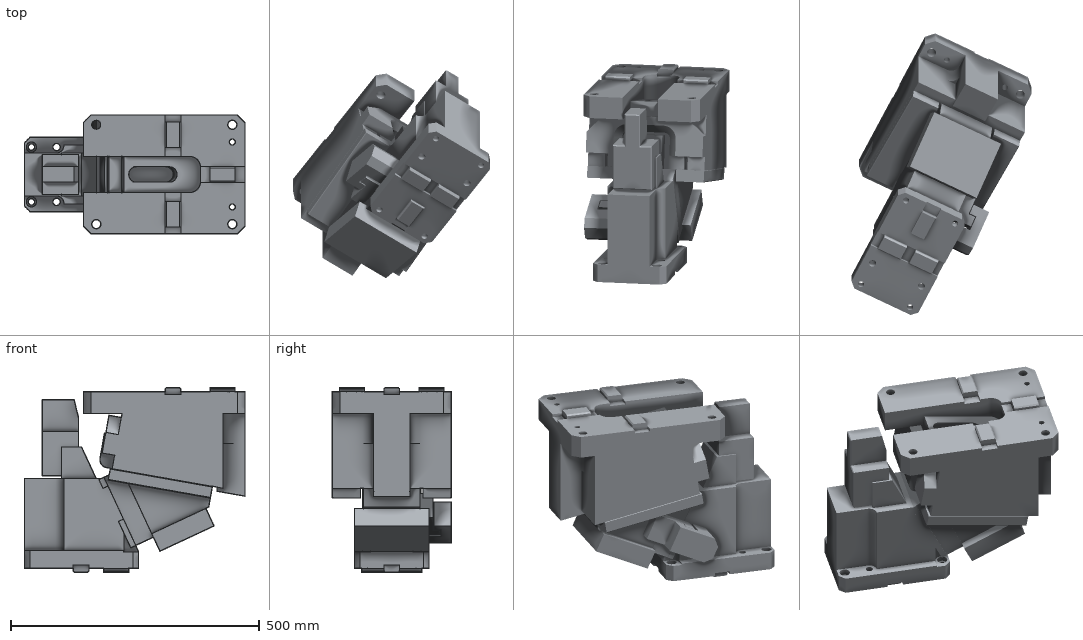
import cadquery as cq
import math


total_length = 445.0
total_width = 240.0
total_height = 372.0
key_stand_out = 8.0
key_seat_depth = 6.2
key_width = 32.0
key_length = 50.7
key_edge_chamfer = 2.5

drive_angle = math.radians(25)
guide_angle = math.radians(10)

base_length = 230.0
base_half_width = 75.0
base_plate_top = 44.0
base_corner_chamfer = 11.5
base_top = 189.0
body_half_width = 59.0
waist_half_width = 43.0
waist_end_left = 64.5
waist_start_right = 216.0
waist_radius = 15.0
right_seat_start = 200.2
right_seat_depth = 3.0
drive_top_x = 161.5
base_hole_inset = 14.2
base_hole_y = 55.0
base_hole_radius = 6.2
base_bore_radius = 10.2
base_bore_depth = 13.5
dowel_x = 65.0
dowel_radius = 7.0
base_cross_key_x = 114.5
base_end_key_x = 185.0
base_cross_key_y = 35.0

cheek_left = 74.8
cheek_top = 252.8
cheek_top_right = 115.3
post_left = 35.0
post_right = 109.5
post_bottom = 194.0
post_step = 283.5
post_top = 348.0
post_top_right = 100.5
post_bend_x = 104.5
post_bend_z = 331.0
post_slope_start = 311.5
post_half_width = 40.0
post_tip_half_width = 15.5
post_edge_chamfer = 2.0

ear_top_u = -66.8
ear_length = 54.0
ear_left_n = -63.0
ear_right_n = 31.0
ear_chamfer = 14.2

pad_depth = 11.0
slider_top_u = 2.5
slider_bottom_u = -149.0
upper_pad_bottom_u = -17.0
lower_pad_top_u = -90.5
strip_depth = 39.0
strip_half_width = 58.0
wedge_half_width = 57.0
foot_right_n = 159.8
foot_top_u = -141.0
foot_bottom_u = -180.2
rail_flange_y = 98.0
rail_stem_y = 83.0
rail_flange_top_n = 10.0
rail_stem_top_n = 71.5
rail_clearance = 2.0
rail_floor_gap = 7.5

holder_left = 119.0
holder_half_width = total_width / 2
holder_corner_chamfer = 15.5
plate_bottom = 319.5
plate_top = total_height - key_stand_out
guide_corner_x = 177.0
guide_corner_z = 208.5
block_right = 400.5
window_half_width = 36.5
window_right = 355.0
window_radius = 22.2
window_floor_left_z = 341.0
slot_left = 209.5
slot_right = 308.5
slot_half_width = 15.5
slot_depth = 44.5
nose_depth = 25.5
nose_bottom = 27.5
nose_top = 105.0
nose_chamfer = 35.0
arch_half_width = 49.0
arch_top = 73.5
arch_radius = 11.5
arch_bevel = 14.5
tongue_left = -28.0
tongue_top = 68.0
tongue_half_width = 36.5
tongue_radius = 16.5
front_groove_y = 77.5
front_groove_width = 7.5
front_groove_depth = 26.5
gib_left = -4.0
gib_right = 205.0
gib_thickness = 24.0
gib_chamfer = 1.5
gib_inner_y = 62.7
rib_left = 388.0
rib_tip_z = 153.0
rib_fillet = 19.5
rib_fillet_bottom = 259.5
holder_hole_left_x = 145.0
holder_hole_right_x = 419.0
holder_hole_y = 100.0
holder_hole_radius = 9.0
holder_dowel_y = 65.5
holder_dowel_radius = 6.0
holder_cross_key_x = 299.5
holder_cross_key_y = 80.0
holder_end_key_x = 399.5

drive_plane = cq.Plane(
    origin=(drive_top_x, 0, base_top),
    xDir=(math.cos(drive_angle), 0, math.sin(drive_angle)),
    normal=(0, -1, 0),
)
guide_plane = cq.Plane(
    origin=(guide_corner_x, 0, guide_corner_z),
    xDir=(math.cos(guide_angle), 0, -math.sin(guide_angle)),
    normal=(0, -1, 0),
)


def block(x_range, y_range, z_range):
    """Box between the given limits."""
    lows, highs = zip(x_range, y_range, z_range)
    size = [high - low for low, high in zip(lows, highs)]
    return cq.Workplane().box(*size, centered=False).translate(lows)


def prism(plane, points, y_range):
    """Outline on a plane that faces -Y, extruded between two Y values."""
    low, high = y_range
    return cq.Workplane(plane).polyline(points).close().extrude(high - low).translate((0, high, 0))


def bar(plane, across, along, y_range):
    """Rectangular bar on a plane that faces -Y."""
    (left, right), (bottom, top) = across, along
    points = [(left, bottom), (right, bottom), (right, top), (left, top)]
    return prism(plane, points, y_range)


def both_sides(half_width):
    return (-half_width, half_width)


def mirrored(shape):
    """The shape together with its mirror image across the middle plane."""
    return shape.union(shape.mirror("XZ"))


def upright_holes(points, radius, z_range):
    low, high = z_range
    return cq.Workplane().workplane(offset=low).pushPoints(points).circle(radius).extrude(high - low)


def key(center, size, z_range, outward):
    """Key block whose long outer edges are chamfered."""
    (x, y), (length, width) = center, size
    body = block((x - length / 2, x + length / 2), (y - width / 2, y + width / 2), z_range)
    long_axis = "X" if length > width else "Y"
    outer_face = ">Z" if outward > 0 else "<Z"
    return body.faces(outer_face).edges("|" + long_axis).chamfer(key_edge_chamfer)


def add_keys(body, cross_x, cross_y, end_x, end_groove, half_width, face_z, outward):
    """Two keys across the body and one towards its right end, each in an open groove."""
    seat_z = face_z - outward * key_seat_depth
    groove_z = sorted((seat_z, face_z))
    key_z = sorted((seat_z, face_z + outward * key_stand_out))
    half = key_width / 2
    body = body.cut(block((cross_x - half, cross_x + half), both_sides(half_width), groove_z))
    body = body.cut(block(end_groove, both_sides(half), groove_z))
    for side in (-1, 1):
        center = (cross_x, side * cross_y)
        body = body.union(key(center, (key_width, key_length), key_z, outward))
    return body.union(key((end_x, 0), (key_length, key_width), key_z, outward))


def slider_pads():
    """Two pads that stand out of the slider into the driving face."""
    pads = cq.Workplane()
    for bottom, top in ((upper_pad_bottom_u, slider_top_u), (slider_bottom_u, lower_pad_top_u)):
        pads = pads.add(bar(drive_plane, (-pad_depth, 0), (bottom, top), both_sides(body_half_width)))
    return pads.combine()


def make_slider():
    strip = bar(drive_plane, (0, strip_depth), (slider_bottom_u, slider_top_u), both_sides(strip_half_width))
    wedge = bar(drive_plane, (0, total_length), (foot_top_u, slider_top_u), both_sides(wedge_half_width))
    under_guide = bar(
        guide_plane, (-total_length, gib_right), (-total_height, 0), both_sides(strip_half_width)
    )
    slider = strip.union(wedge).intersect(under_guide).union(slider_pads())

    foot = bar(
        drive_plane, (strip_depth, foot_right_n), (foot_bottom_u, foot_top_u), both_sides(base_half_width)
    )
    slider = slider.union(foot)

    rail_u = (ear_top_u - ear_length, ear_top_u)
    flange = bar(
        drive_plane,
        (-pad_depth, rail_flange_top_n),
        rail_u,
        (body_half_width, rail_flange_y),
    )
    stem = bar(drive_plane, (rail_flange_top_n, rail_stem_top_n), rail_u, (wedge_half_width, rail_stem_y))
    return slider.union(flange).union(stem)


def base_body():
    """Upright body: its plan has filleted waists, its right side is the driving face."""
    def side_outline(sign):
        arc = waist_radius * math.sqrt(0.5)
        arc_y = waist_half_width + waist_radius
        return (
            cq.Workplane()
            .workplane(offset=key_stand_out)
            .moveTo(0, 0)
            .lineTo(0, sign * waist_half_width)
            .lineTo(waist_end_left, sign * waist_half_width)
            .threePointArc(
                (waist_end_left + arc, sign * (arc_y - arc)),
                (waist_end_left + waist_radius, sign * arc_y),
            )
            .lineTo(waist_end_left + waist_radius, sign * body_half_width)
            .lineTo(waist_start_right - waist_radius, sign * body_half_width)
            .lineTo(waist_start_right - waist_radius, sign * arc_y)
            .threePointArc(
                (waist_start_right - arc, sign * (arc_y - arc)),
                (waist_start_right, sign * waist_half_width),
            )
            .lineTo(base_length, sign * waist_half_width)
            .lineTo(base_length, 0)
            .close()
            .extrude(base_top - key_stand_out)
        )

    plan = side_outline(1).union(side_outline(-1))
    beyond_face = bar(drive_plane, (0, total_length), both_sides(total_length), both_sides(base_half_width))
    return plan.cut(beyond_face)


def base_plate():
    plate = block((0, base_length), both_sides(base_half_width), (key_stand_out, base_plate_top))
    plate = plate.edges("|Z").chamfer(base_corner_chamfer)
    seat_z = (base_plate_top - right_seat_depth, base_plate_top)
    return plate.cut(block((right_seat_start, base_length), both_sides(base_half_width), seat_z))


def base_holes():
    corners = [
        (x, y)
        for x in (base_hole_inset, base_length - base_hole_inset)
        for y in (-base_hole_y, base_hole_y)
    ]
    dowels = [(dowel_x, y) for y in (-base_hole_y, base_hole_y)]
    through = (0, base_plate_top)
    bores = upright_holes(corners, base_bore_radius, (base_plate_top - base_bore_depth, base_plate_top))
    holes = upright_holes(corners, base_hole_radius, through)
    return holes.union(bores).union(upright_holes(dowels, dowel_radius, through))


def base_cheek():
    bevel_run = (cheek_top - base_top) * math.tan(drive_angle)
    points = [
        (cheek_left, base_top),
        (cheek_top_right + bevel_run, base_top),
        (cheek_top_right, cheek_top),
        (cheek_left, cheek_top),
    ]
    return prism("XZ", points, both_sides(waist_half_width))


def base_post():
    """T-shaped post that hooks over the cheek, its narrow tip sloping on the right."""
    lower = block((post_left, post_right), both_sides(post_half_width), (post_bottom, post_step))
    tip_points = [
        (post_left, post_step),
        (post_right, post_step),
        (post_right, post_slope_start),
        (post_bend_x, post_bend_z),
        (post_top_right, post_top),
        (post_left, post_top),
    ]
    post = lower.union(prism("XZ", tip_points, both_sides(post_tip_half_width)))
    post = post.faces("<X").chamfer(post_edge_chamfer)
    return post.cut(block((cheek_left, total_length), both_sides(post_half_width), (0, cheek_top)))


def base_ear():
    """Chamfered block on the +Y side with an L-shaped slot for the slider rail."""
    bottom_u = ear_top_u - ear_length
    points = [
        (ear_left_n + ear_chamfer, ear_top_u),
        (ear_left_n, ear_top_u - ear_chamfer),
        (ear_left_n, bottom_u + ear_chamfer),
        (ear_left_n + ear_chamfer, bottom_u),
        (ear_right_n, bottom_u),
        (ear_right_n, ear_top_u),
    ]
    ear = prism(drive_plane, points, (body_half_width, holder_half_width))
    slot_u = (bottom_u, ear_top_u)
    flange_slot = bar(
        drive_plane,
        (-pad_depth - rail_floor_gap, rail_flange_top_n + rail_clearance),
        slot_u,
        (body_half_width, rail_flange_y + rail_clearance),
    )
    stem_slot = bar(
        drive_plane, (rail_flange_top_n, ear_right_n), slot_u, (body_half_width, rail_stem_y + rail_clearance)
    )
    return ear.cut(flange_slot).cut(stem_slot)


def make_base():
    base = base_plate().union(base_body()).cut(base_holes())
    base = base.union(base_cheek()).union(base_post()).cut(slider_pads())
    base = base.union(base_ear())
    end_groove = (base_end_key_x - key_length / 2, base_length)
    return add_keys(
        base, base_cross_key_x, base_cross_key_y, base_end_key_x, end_groove,
        base_half_width, key_stand_out, -1,
    )


def holder_block():
    run = math.tan(guide_angle)
    points = [
        (guide_corner_x, guide_corner_z),
        (block_right, guide_corner_z - (block_right - guide_corner_x) * run),
        (block_right, plate_top),
        (guide_corner_x + (plate_top - guide_corner_z) * run, plate_top),
    ]
    return prism("XZ", points, both_sides(holder_half_width))


def holder_plate():
    plate = block((holder_left, total_length), both_sides(holder_half_width), (plate_bottom, plate_top))
    return plate.edges("|Z").chamfer(holder_corner_chamfer)


def holder_window():
    """Open window in the plate, with a sloping floor over the block."""
    run = math.tan(guide_angle)
    front_x = guide_corner_x + (plate_bottom - guide_corner_z) * run
    floor_x = guide_corner_x + (window_floor_left_z - guide_corner_z) * run
    floor_right_z = window_floor_left_z - (window_right - floor_x) * run
    points = [
        (holder_left, plate_bottom),
        (front_x, plate_bottom),
        (floor_x, window_floor_left_z),
        (window_right, floor_right_z),
        (window_right, plate_top),
        (holder_left, plate_top),
    ]
    window = prism("XZ", points, both_sides(window_half_width))
    return window.edges("|Z").edges(">X").fillet(window_radius)


def holder_slot():
    """Obround pocket square to the sloping window floor."""
    floor_u = (window_floor_left_z - guide_corner_z) / math.cos(guide_angle)
    center = ((slot_left + slot_right) / 2 - guide_corner_x) / math.cos(guide_angle)
    middle = center - floor_u * math.tan(guide_angle)
    floor = cq.Workplane(
        cq.Plane(
            origin=guide_plane.toWorldCoords((middle, floor_u, 0)).toTuple(),
            xDir=guide_plane.xDir.toTuple(),
            normal=guide_plane.yDir.toTuple(),
        )
    )
    return floor.slot2D(slot_right - slot_left, 2 * slot_half_width).extrude(-slot_depth)


def holder_nose():
    """Front wall with chamfered upper corners and a bevelled arch below."""
    nose = bar(guide_plane, (-nose_depth, 0), (nose_bottom, nose_top), both_sides(holder_half_width))
    front_plane = cq.Plane(
        origin=guide_plane.toWorldCoords((-nose_depth, 0, 0)).toTuple(),
        xDir=(0, 1, 0),
        normal=guide_plane.xDir.toTuple(),
    )
    corner = (
        cq.Workplane(front_plane)
        .polyline([
            (holder_half_width, nose_top),
            (holder_half_width - nose_chamfer, nose_top),
            (holder_half_width, nose_top - nose_chamfer),
        ])
        .close()
        .extrude(nose_depth)
    )
    nose = nose.cut(mirrored(corner))

    arch_sketch = (
        cq.Sketch()
        .rect(2 * arch_half_width, 2 * arch_top)
        .vertices()
        .fillet(arch_radius)
    )
    bevel_root = cq.Workplane(front_plane).workplane(offset=arch_bevel)
    bevel = bevel_root.placeSketch(arch_sketch).extrude(-arch_bevel, taper=-45)
    straight = bevel_root.placeSketch(arch_sketch).extrude(nose_depth - arch_bevel)
    return nose.cut(bevel).cut(straight)


def holder_tongue():
    """Block under the arch, rounded along its lower front edge."""
    tongue = bar(guide_plane, (tongue_left, 0), (0, tongue_top), both_sides(tongue_half_width))
    return tongue.edges("|Y").edges("<X").fillet(tongue_radius)


def holder_front_grooves():
    """Short grooves in the block front, between the nose and the guide strips."""
    groove_y = (front_groove_y, front_groove_y + front_groove_width)
    return mirrored(bar(guide_plane, (0, front_groove_depth), (0, nose_bottom), groove_y))


def holder_gibs():
    """Guide strips under both sides of the block, chamfered along their outer edges."""
    gib = bar(guide_plane, (gib_left, gib_right), (-gib_thickness, 0), (gib_inner_y, holder_half_width))
    along_guide = cq.selectors.ParallelDirSelector(guide_plane.xDir)
    return mirrored(gib.faces(">Y").edges(along_guide).chamfer(gib_chamfer))


def holder_rib():
    """Stop rib behind the block, filleted to it on both sides."""
    tip_left_z = rib_tip_z + (total_length - rib_left) * math.tan(guide_angle)
    points = [
        (rib_left, tip_left_z),
        (total_length, rib_tip_z),
        (total_length, plate_bottom),
        (rib_left, plate_bottom),
    ]
    rib = prism("XZ", points, both_sides(window_half_width))
    outer_x = block_right + rib_fillet
    outer_y = window_half_width + rib_fillet
    fillet_z = (rib_fillet_bottom, plate_bottom)
    fillet = block((block_right, outer_x), (window_half_width, outer_y), fillet_z)
    fillet = fillet.cut(upright_holes([(outer_x, outer_y)], rib_fillet, fillet_z))
    return rib.union(mirrored(fillet))


def holder_holes():
    through = (0, plate_top)
    bolts = [
        (x, y)
        for x in (holder_hole_left_x, holder_hole_right_x)
        for y in (-holder_hole_y, holder_hole_y)
    ]
    dowels = [(holder_hole_right_x, y) for y in (-holder_dowel_y, holder_dowel_y)]
    return upright_holes(bolts, holder_hole_radius, through).union(
        upright_holes(dowels, holder_dowel_radius, through)
    )


def make_holder():
    holder = holder_plate().union(holder_block()).union(holder_rib())
    holder = holder.cut(holder_window()).cut(holder_slot()).cut(holder_holes())
    holder = holder.cut(holder_front_grooves())
    holder = holder.union(holder_nose()).union(holder_tongue()).union(holder_gibs())
    return add_keys(
        holder, holder_cross_key_x, holder_cross_key_y, holder_end_key_x, (window_right, total_length),
        holder_half_width, plate_top, 1,
    )


base = make_base()
slider = make_slider()
holder = make_holder()
result = cq.Compound.makeCompound([base.val(), slider.val(), holder.val()])